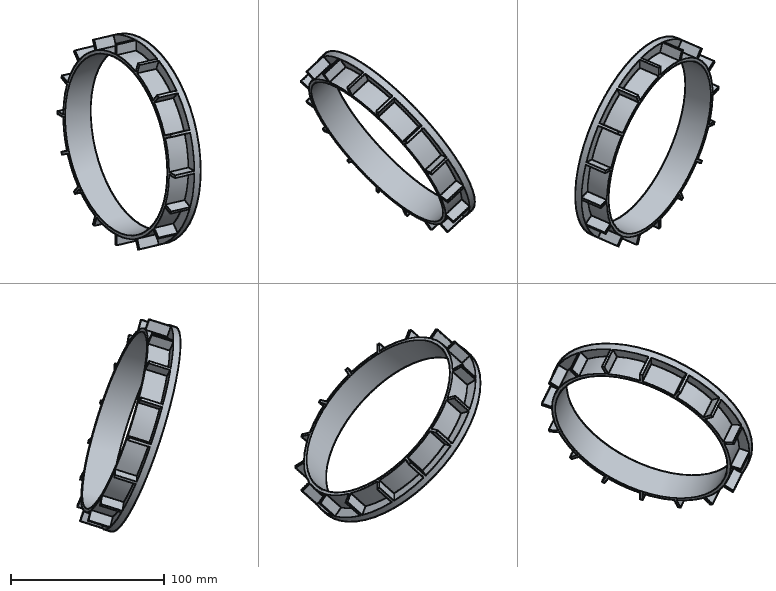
import cadquery as cq

outer_radius = 70.1
bore_radius = 60.5
wall = 2.4
width = 20.0
flange_thickness = 5.0
rib_count = 16
rib_thickness = 2.0

sleeve_radius = bore_radius + wall
rib_length = width - flange_thickness


def disc(radius, length):
    """Cylinder running from the flange face at Y = 0 towards -Y."""
    return cq.Workplane("XZ").circle(radius).extrude(length)


def rib(angle):
    """Flat radial rib on the sleeve, from the flange to the free rim."""
    mid_wall_radius = bore_radius + wall / 2
    blade = (
        cq.Workplane("XZ", origin=(0, -flange_thickness, 0))
        .moveTo((mid_wall_radius + outer_radius) / 2, 0)
        .rect(outer_radius - mid_wall_radius, rib_thickness)
        .extrude(rib_length)
    )
    return blade.rotate((0, 0, 0), (0, 1, 0), angle)


body = disc(outer_radius, flange_thickness).union(disc(sleeve_radius, width))

for index in range(rib_count):
    body = body.union(rib(index * 360 / rib_count))

body = body.intersect(disc(outer_radius, width))
result = body.cut(disc(bore_radius, width))